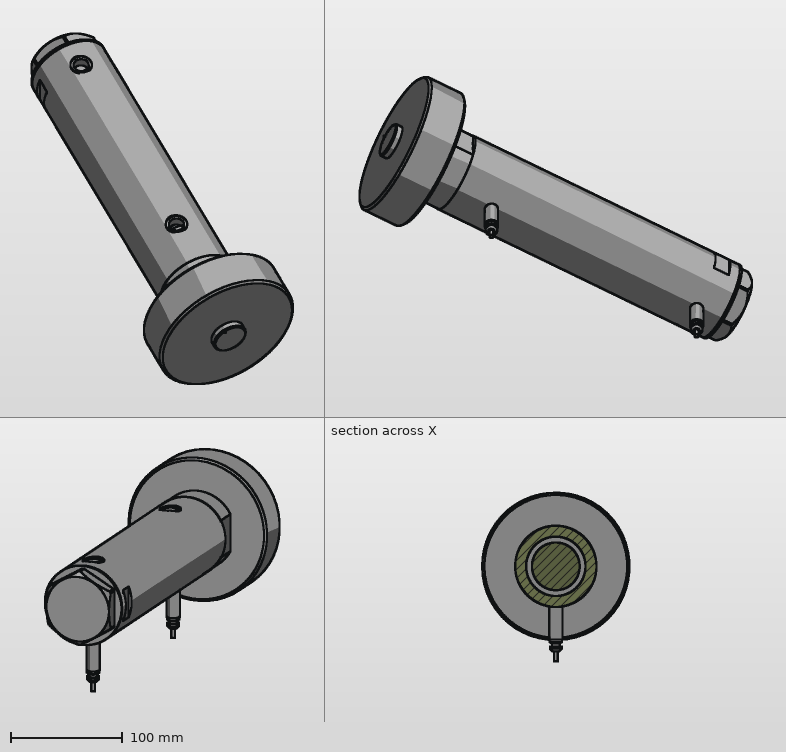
import cadquery as cq
import math


OVERALL_LENGTH = 357.5
OVERALL_HEIGHT = 151.0
HEX_LENGTH = 14.3
BARREL_START = 16.5
BARREL_END = 286.7
FLANGE_START = 312.5
FLANGE_END = 350.0

BARREL_RADIUS = 36.5
BORE_RADIUS = 26.5
POCKET_START = 26.0
POCKET_LENGTH = 15.0
POCKET_HEIGHT = 30.5
POCKET_HALF_WIDTH = 33.5

PORT_POSITIONS = (41.5, 242.7)
PORT_RADIUS = 6.8
SPOTFACE_RADIUS = 9.5
SPOTFACE_DEPTH = 1.5

HEX_ACROSS_FLATS = 59.7
HEX_CORNER_RADIUS = 34.0
HEX_FACE_RADIUS = 29.5
HEX_CHAMFER_LENGTH = 4.3
SPIGOT_END = 42.5

GLAND_START = PORT_POSITIONS[1]
GLAND_SLEEVE_RADIUS = 31.5
NECK_RADIUS = 36.0
NECK_HALF_FLATS = 31.8

FLANGE_DIAMETER = 132.0
FLANGE_RADIUS = FLANGE_DIAMETER / 2
FLANGE_CHAMFER = 2.0

PISTON_LENGTH = 28.5
ROD_RADIUS = 21.5
STUD_END = 356.5
STUD_RADIUS = 15.7
STUD_CHAMFER = 1.0
NIB_SIZE = 1.0
NIB_Y = -5.5
NIB_Z = 13.2

SENSOR_POSITIONS = (40.5, 250.2)
SENSOR_RADIUS = 6.0
SENSOR_TOP_Z = -GLAND_SLEEVE_RADIUS
SENSOR_BODY_Z = -65.5
SENSOR_COLLAR_RADIUS = 5.7
SENSOR_COLLAR_Z = -67.5
SENSOR_NECK_RADIUS = 3.5
SENSOR_NECK_TOP_Z = -69.0
SENSOR_DISC_RADIUS = 5.5
SENSOR_DISC_TOP_Z = -71.5
SENSOR_DISC_BOTTOM_Z = -73.5
SENSOR_CONE_END_RADIUS = 3.0
SENSOR_CONE_END_Z = -76.0
CABLE_RADIUS = 1.8
CABLE_END_Z = FLANGE_RADIUS - OVERALL_HEIGHT


def axial_cylinder(radius, start, end):
    """Cylinder on the X axis between two x positions."""
    return cq.Workplane("YZ", origin=(start, 0, 0)).circle(radius).extrude(end - start)


def vertical_cylinder(radius, x, bottom, top):
    """Cylinder parallel to Z between two z positions."""
    return cq.Workplane("XY", origin=(x, 0, bottom)).circle(radius).extrude(top - bottom)


def make_barrel():
    barrel = axial_cylinder(BARREL_RADIUS, BARREL_START, BARREL_END)
    barrel = barrel.cut(axial_cylinder(BORE_RADIUS, BARREL_START, BARREL_END))
    barrel = barrel.cut(axial_cylinder(GLAND_SLEEVE_RADIUS, GLAND_START, BARREL_END))

    for x in PORT_POSITIONS:
        spotface_floor = BARREL_RADIUS - SPOTFACE_DEPTH
        barrel = barrel.cut(vertical_cylinder(SPOTFACE_RADIUS, x, spotface_floor, BARREL_RADIUS))
        barrel = barrel.cut(vertical_cylinder(PORT_RADIUS, x, 0, BARREL_RADIUS))

    for x in SENSOR_POSITIONS:
        barrel = barrel.cut(vertical_cylinder(SENSOR_RADIUS, x, -BARREL_RADIUS, SENSOR_TOP_Z))

    pocket_depth = BARREL_RADIUS - POCKET_HALF_WIDTH
    pocket_center_x = POCKET_START + POCKET_LENGTH / 2
    pocket_center_y = POCKET_HALF_WIDTH + pocket_depth / 2
    for side in (-1, 1):
        pocket = cq.Workplane("XY").box(POCKET_LENGTH, pocket_depth, POCKET_HEIGHT)
        barrel = barrel.cut(pocket.translate((pocket_center_x, side * pocket_center_y, 0)))
    return barrel


def make_plug():
    """Hexagon head with corners up and down, a collar against the barrel and a spigot in the bore."""
    sharp_corner_diameter = 2 * HEX_ACROSS_FLATS / math.sqrt(3)
    head = cq.Workplane("YZ").polygon(6, sharp_corner_diameter).extrude(HEX_LENGTH)
    head = head.rotate((0, 0, 0), (1, 0, 0), 90)
    envelope = (
        cq.Workplane("XY")
        .polyline([
            (0, 0),
            (0, HEX_FACE_RADIUS),
            (HEX_CHAMFER_LENGTH, HEX_CORNER_RADIUS),
            (HEX_LENGTH, HEX_CORNER_RADIUS),
            (HEX_LENGTH, 0),
        ])
        .close()
        .revolve(360, (0, 0, 0), (1, 0, 0))
    )
    collar = axial_cylinder(BARREL_RADIUS, HEX_LENGTH, BARREL_START)
    spigot = axial_cylinder(BORE_RADIUS, BARREL_START, SPIGOT_END)
    return head.intersect(envelope).union(collar).union(spigot)


def make_gland():
    """Rod guide: sleeve inside the barrel and a neck with two wrench flats."""
    neck_length = FLANGE_START - BARREL_END
    flats = cq.Workplane("XY").box(neck_length, 2 * NECK_HALF_FLATS, 2 * NECK_RADIUS)
    flats = flats.translate((BARREL_END + neck_length / 2, 0, 0))
    neck = axial_cylinder(NECK_RADIUS, BARREL_END, FLANGE_START).intersect(flats)
    sleeve = axial_cylinder(GLAND_SLEEVE_RADIUS, GLAND_START, BARREL_END)
    return sleeve.union(neck).cut(axial_cylinder(ROD_RADIUS, GLAND_START, FLANGE_START))


def make_flange():
    flange = axial_cylinder(FLANGE_RADIUS, FLANGE_START, FLANGE_END).edges().chamfer(FLANGE_CHAMFER)
    return flange.cut(axial_cylinder(STUD_RADIUS, FLANGE_START, FLANGE_END))


def make_piston_rod():
    """Piston against the plug, rod through the gland, stud through the flange and a small nib on its end."""
    piston_end = SPIGOT_END + PISTON_LENGTH
    piston = axial_cylinder(BORE_RADIUS, SPIGOT_END, piston_end)
    rod = axial_cylinder(ROD_RADIUS, piston_end, FLANGE_START)
    stud = axial_cylinder(STUD_RADIUS, FLANGE_START, STUD_END).faces(">X").chamfer(STUD_CHAMFER)
    nib = (
        cq.Workplane("YZ", origin=(STUD_END, NIB_Y, NIB_Z))
        .rect(NIB_SIZE, NIB_SIZE)
        .extrude(OVERALL_LENGTH - STUD_END)
    )
    return piston.union(rod).union(stud).union(nib)


def make_sensor(x):
    """Turned sensor hanging down from the barrel wall, with its cable end."""
    profile = [
        (0, SENSOR_TOP_Z),
        (SENSOR_RADIUS, SENSOR_TOP_Z),
        (SENSOR_RADIUS, SENSOR_BODY_Z),
        (SENSOR_COLLAR_RADIUS, SENSOR_BODY_Z),
        (SENSOR_COLLAR_RADIUS, SENSOR_COLLAR_Z),
        (SENSOR_NECK_RADIUS, SENSOR_NECK_TOP_Z),
        (SENSOR_NECK_RADIUS, SENSOR_DISC_TOP_Z),
        (SENSOR_DISC_RADIUS, SENSOR_DISC_TOP_Z),
        (SENSOR_DISC_RADIUS, SENSOR_DISC_BOTTOM_Z),
        (SENSOR_CONE_END_RADIUS, SENSOR_CONE_END_Z),
        (CABLE_RADIUS, SENSOR_CONE_END_Z),
        (CABLE_RADIUS, CABLE_END_Z),
        (0, CABLE_END_Z),
    ]
    sensor = cq.Workplane("XZ").polyline(profile).close().revolve(360, (0, 0, 0), (0, 1, 0))
    return sensor.translate((x, 0, 0))


barrel = make_barrel()
plug = make_plug()
gland = make_gland()
flange = make_flange()
piston_rod = make_piston_rod()
sensors = [make_sensor(x) for x in SENSOR_POSITIONS]

result = cq.Compound.makeCompound([
    barrel.val(),
    plug.val(),
    gland.val(),
    flange.val(),
    piston_rod.val(),
    *[sensor.val() for sensor in sensors],
])